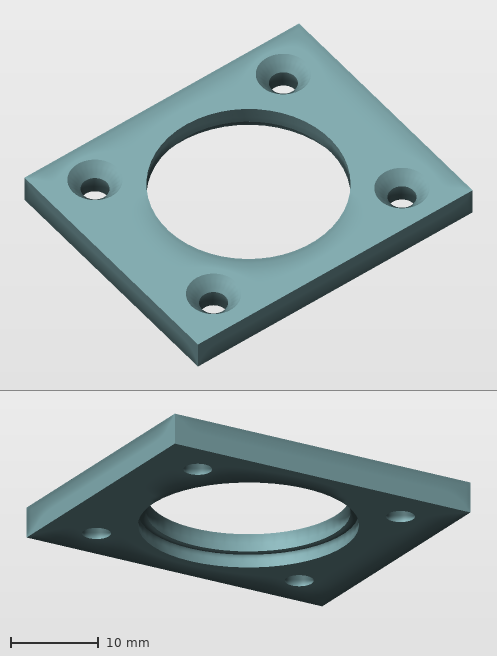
import cadquery as cq

width = 32.6
length = 39.4
thickness = 3.7

opening_diameter = 23.3
recess_diameter = 25.2
recess_depth = 1.58

hole_spacing_x = 22.25
hole_spacing_y = 27.03
hole_diameter = 3.3
countersink_diameter = 6.3
countersink_angle = 90.0


def make_plate():
    """Rectangular plate centred on the origin."""
    return cq.Workplane("XY").box(width, length, thickness)


def cut_opening(plate):
    """Cut the round through opening and the wider recess below it."""
    plate = plate.faces(">Z").workplane().hole(opening_diameter)
    recess = (
        cq.Workplane("XY")
        .workplane(offset=-thickness / 2)
        .circle(recess_diameter / 2)
        .extrude(recess_depth)
    )
    return plate.cut(recess)


def cut_screw_holes(plate):
    """Cut one countersunk hole near each corner, from the top face."""
    return (
        plate.faces(">Z")
        .workplane(origin=(0, 0, 0))
        .rarray(hole_spacing_x, hole_spacing_y, 2, 2)
        .cskHole(hole_diameter, countersink_diameter, countersink_angle)
    )


result = cut_screw_holes(cut_opening(make_plate()))